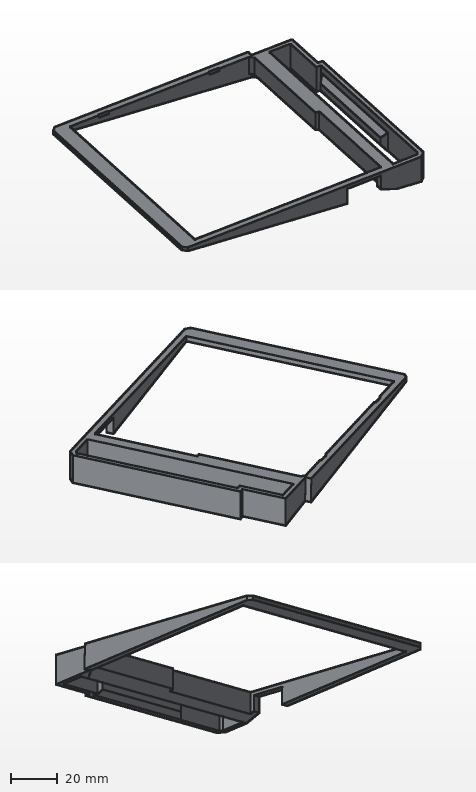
import cadquery as cq

width = 104.1
length = 124.1
height = 13.5
front_height = 1.9

wall = 2.4
front_chamfer = 1.9
rear_chamfer = 2.5
rear_step_x = 23.0
rear_left_y = length - wall
box_left = 2.7
arm_end_y = 101.0
arm_end_lean = 0.5
front_lip_height = 1.0
front_undercut = 0.1

window_left = 3.4
window_right = 100.9
window_front = 7.6
window_rear_left = 101.0
window_rear_right = 102.9
window_step_x = 52.7
window_chamfer = 1.7

pocket_left = box_left + wall
pocket_right = width - wall
pocket_front = 108.6
pocket_chamfer = 1.1

ledge_left = 26.4
ledge_right = 77.6
ledge_end_inset = 2.1
ledge_top_z = height - 3.7
ledge_rise = 3.0

notch_front = 83.6
notch_rear = 100.8
notch_ceiling = height - 1.9
ramp_front_z = height - 9.0
ramp_rear_z = height - 12.0
relief_rear_left = 9.4

recess_length = 5.2
recess_fronts = (22.5, 79.0)
recess_width = 0.5
recess_depth = 1.2

cut_margin = 1.2


def prism(points):
    """Full-height block over an XY outline."""
    return cq.Workplane("XY").polyline(points).close().extrude(height)


def side_prism(points, x_start, x_end):
    """Block with a YZ profile, running from x_start to x_end."""
    profile = cq.Workplane("YZ", origin=(x_start, 0, 0)).polyline(points).close()
    return profile.extrude(x_end - x_start)


def rear_arm_tip():
    """Left arm end that leans rearwards toward its bottom."""
    profile = [(arm_end_y - wall, 0), (arm_end_y - wall, height),
               (arm_end_y, height), (arm_end_y + arm_end_lean, 0)]
    return side_prism(profile, 0, window_left)


def outer_block():
    outline = [
        (front_chamfer, 0), (width - front_chamfer, 0), (width, front_chamfer),
        (width, length - rear_chamfer), (width - rear_chamfer, length),
        (rear_step_x, length), (rear_step_x, rear_left_y), (box_left, rear_left_y),
        (box_left, arm_end_y), (0, arm_end_y), (0, front_chamfer),
    ]
    return prism(outline).union(rear_arm_tip())


def front_window():
    return prism([
        (window_left, window_front), (window_right, window_front),
        (window_right, window_rear_right), (window_step_x, window_rear_right),
        (window_step_x, window_rear_left),
        (window_left + window_chamfer, window_rear_left),
        (window_left, window_rear_left - window_chamfer),
    ])


def rear_pocket():
    inner_step_x = rear_step_x + wall
    return prism([
        (pocket_left, pocket_front), (pocket_right, pocket_front),
        (pocket_right, rear_left_y - pocket_chamfer),
        (pocket_right - pocket_chamfer, rear_left_y),
        (inner_step_x, rear_left_y), (inner_step_x, rear_left_y - wall),
        (pocket_left, rear_left_y - wall),
    ])


def ledge():
    """Rib with sloped upper and lower faces and tapered ends."""
    front = rear_left_y - wall
    profile = [(rear_left_y, ledge_top_z), (front, ledge_top_z - ledge_rise),
               (front, ledge_rise), (rear_left_y, 0)]
    plan = [(ledge_left, rear_left_y), (ledge_right, rear_left_y),
            (ledge_right - ledge_end_inset, front), (ledge_left + ledge_end_inset, front)]
    return side_prism(profile, ledge_left, ledge_right).intersect(prism(plan))


def below_slope():
    """Everything under the sloping underside."""
    return side_prism([(0, height - front_height), (length, 0), (length, -cut_margin),
                       (0, -cut_margin)], 0, width)


def front_undercut_wedge():
    lip_z = height - front_lip_height
    base_z = height - front_height
    return side_prism([(0, lip_z), (front_undercut, base_z), (0, base_z)], 0, width)


def crossbar_relief():
    """Level then ramped relief below the crossbar, with a diagonal left end."""
    corner_front = window_rear_left - window_chamfer
    ramp = side_prism([(corner_front, ramp_front_z), (notch_rear, ramp_front_z),
                       (pocket_front, ramp_rear_z), (pocket_front, 0), (corner_front, 0)],
                      window_left, width)
    plan = prism([(window_left, corner_front), (window_right, corner_front),
                  (window_right, notch_rear), (width, notch_rear), (width, pocket_front),
                  (relief_rear_left, pocket_front), (window_left, notch_rear)])
    return ramp.intersect(plan)


def side_notch():
    return side_prism([(notch_front, 0), (notch_front, notch_ceiling),
                       (notch_rear, notch_ceiling), (notch_rear, 0)], window_right, width)


def arm_recess(front):
    profile = [(window_left - recess_width, height), (window_left, height),
               (window_left, height - recess_depth)]
    recess = cq.Workplane("XZ", origin=(0, front, 0)).polyline(profile).close()
    return recess.extrude(-recess_length)


result = outer_block().cut(front_window()).cut(rear_pocket()).union(ledge())
result = result.cut(below_slope()).cut(front_undercut_wedge())
result = result.cut(crossbar_relief()).cut(side_notch())
for recess_front in recess_fronts:
    result = result.cut(arm_recess(recess_front))